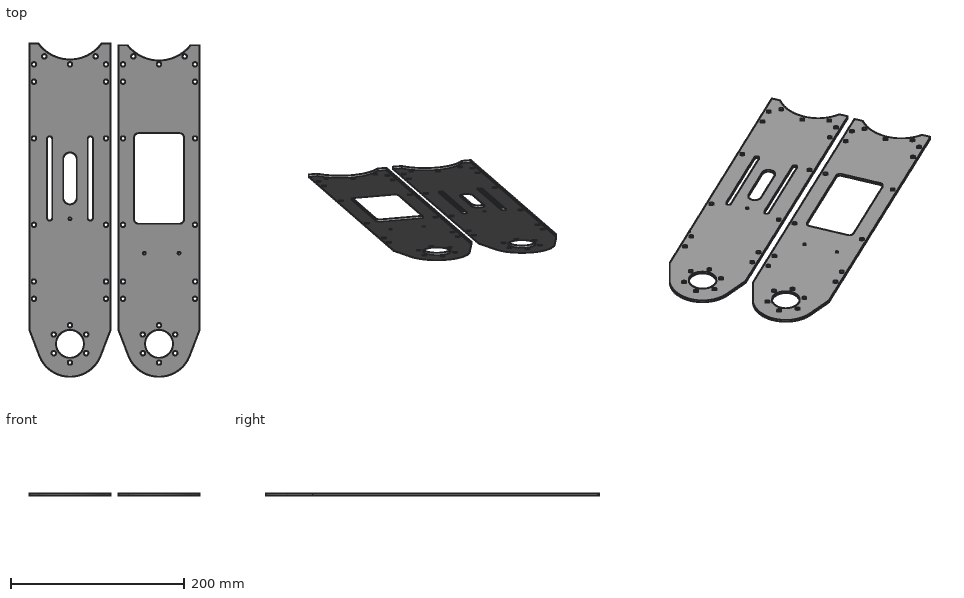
import cadquery as cq
import math

thickness = 3.0
plate_width = 94.0
plate_spacing = 103.0
end_radius = 38.0
taper_start_y = 16.2

slotted_plate_length = 385.5
window_plate_length = 383.7
slotted_top_y = slotted_plate_length - end_radius
window_top_y = window_plate_length - end_radius
notch_half_width = 36.5
slotted_notch_bottom_y = 329.0
window_notch_bottom_y = 328.0

hub_diameter = 32.0
bolt_diameter = 5.0
hub_bolt_count = 6
hub_bolt_circle_radius = 21.5
side_bolt_x = 41.5
first_side_bolt_y = 52.0
close_pitch = 20.0
wide_pitch = 65.5
middle_pitch = 100.0
notch_bolt_x = 29.7
notch_bolt_rise = 9.3

opening_center_y = 191.3
side_slot_x = 23.5
side_slot_length = 97.0
side_slot_width = 5.8
center_slot_length = 59.8
center_slot_width = 15.5
window_width = 57.5
window_length = 104.5
window_corner_radius = 5.0

small_diameter = 3.0
slotted_small_hole_y = 144.5
window_small_hole_offset_x = 3.0
window_small_hole_pitch = 40.0
window_small_hole_y = 105.0


def plate_blank(top_y, notch_bottom_y):
    """Plate with an arc notch at the top and sides tapering tangentially into a round end."""
    half_width = plate_width / 2
    corner_distance = math.hypot(half_width, taper_start_y)
    tangent_angle = math.atan2(taper_start_y, half_width) - math.acos(end_radius / corner_distance)
    tangent_x = end_radius * math.cos(tangent_angle)
    tangent_y = end_radius * math.sin(tangent_angle)
    return (
        cq.Workplane("XY")
        .moveTo(-half_width, top_y)
        .lineTo(-notch_half_width, top_y)
        .threePointArc((0, notch_bottom_y), (notch_half_width, top_y))
        .lineTo(half_width, top_y)
        .lineTo(half_width, taper_start_y)
        .lineTo(tangent_x, tangent_y)
        .threePointArc((0, -end_radius), (-tangent_x, tangent_y))
        .lineTo(-half_width, taper_start_y)
        .close()
        .extrude(thickness)
    )


def round_holes(points, diameter):
    """Cutters for through holes at the given points."""
    return cq.Workplane("XY").pushPoints(points).circle(diameter / 2).extrude(thickness)


def lengthwise_slots(x_positions, length, width):
    """Cutters for round-ended slots running along Y."""
    centers = [(x, opening_center_y) for x in x_positions]
    return cq.Workplane("XY").pushPoints(centers).slot2D(length, width, 90).extrude(thickness)


def bolt_points():
    """Side rows, notch bolts and hub bolt circle, common to both plates."""
    row_y = first_side_bolt_y
    row_ys = [row_y]
    for pitch in (close_pitch, wide_pitch, middle_pitch, wide_pitch, close_pitch):
        row_y += pitch
        row_ys.append(row_y)
    points = [(side * side_bolt_x, y) for y in row_ys for side in (-1, 1)]

    points.append((0, row_y))
    points += [(side * notch_bolt_x, row_y + notch_bolt_rise) for side in (-1, 1)]

    for index in range(hub_bolt_count):
        angle = math.pi / 2 + index * 2 * math.pi / hub_bolt_count
        points.append((hub_bolt_circle_radius * math.cos(angle), hub_bolt_circle_radius * math.sin(angle)))
    return points


def drilled_plate(top_y, notch_bottom_y):
    """Blank with the hub hole and the common bolt holes."""
    return (
        plate_blank(top_y, notch_bottom_y)
        .cut(round_holes([(0, 0)], hub_diameter))
        .cut(round_holes(bolt_points(), bolt_diameter))
    )


def make_slotted_plate():
    return (
        drilled_plate(slotted_top_y, slotted_notch_bottom_y)
        .cut(lengthwise_slots([-side_slot_x, side_slot_x], side_slot_length, side_slot_width))
        .cut(lengthwise_slots([0], center_slot_length, center_slot_width))
        .cut(round_holes([(0, slotted_small_hole_y)], small_diameter))
    )


def make_window_plate():
    window = (
        cq.Workplane("XY")
        .center(0, opening_center_y)
        .rect(window_width, window_length)
        .extrude(thickness)
        .edges("|Z")
        .fillet(window_corner_radius)
    )
    small_holes = [
        (window_small_hole_offset_x + side * window_small_hole_pitch / 2, window_small_hole_y)
        for side in (-1, 1)
    ]
    return (
        drilled_plate(window_top_y, window_notch_bottom_y)
        .cut(window)
        .cut(round_holes(small_holes, small_diameter))
    )


slotted_plate = make_slotted_plate().translate((-plate_spacing / 2, 0, 0))
window_plate = make_window_plate().translate((plate_spacing / 2, 0, 0))

result = cq.Compound.makeCompound([slotted_plate.val(), window_plate.val()])